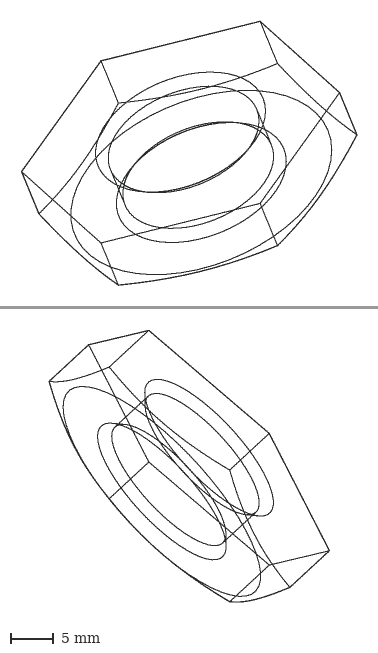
import cadquery as cq
import math

across_corners = 39.25
thickness = 8.0
bore_diameter = 18.6
countersink_diameter = 20.95
countersink_angle = 45.0
crown_face_diameter = 32.2
crown_angle = 20.0

corner_radius = across_corners / 2
bore_radius = bore_diameter / 2
countersink_radius = countersink_diameter / 2
crown_face_radius = crown_face_diameter / 2
countersink_depth = (countersink_radius - bore_radius) / math.tan(math.radians(countersink_angle))
crown_depth = (corner_radius - crown_face_radius) * math.tan(math.radians(crown_angle))


def revolve_about_x(profile):
    """Turn a closed list of (x, radius) points about the X axis."""
    return cq.Workplane("XY").polyline(profile).close().revolve(360, (0, 0, 0), (1, 0, 0))


def hexagon_prism():
    return cq.Workplane("YZ").polygon(6, across_corners).extrude(thickness)


def crown_envelope():
    """Turned blank whose conical +X edge cuts the six corners back."""
    return revolve_about_x([
        (0, 0),
        (0, corner_radius),
        (thickness - crown_depth, corner_radius),
        (thickness, crown_face_radius),
        (thickness, 0),
    ])


def countersunk_bore():
    """Through bore with the same countersink at both ends."""
    return revolve_about_x([
        (0, 0),
        (0, countersink_radius),
        (countersink_depth, bore_radius),
        (thickness - countersink_depth, bore_radius),
        (thickness, countersink_radius),
        (thickness, 0),
    ])


result = hexagon_prism().intersect(crown_envelope()).cut(countersunk_bore())